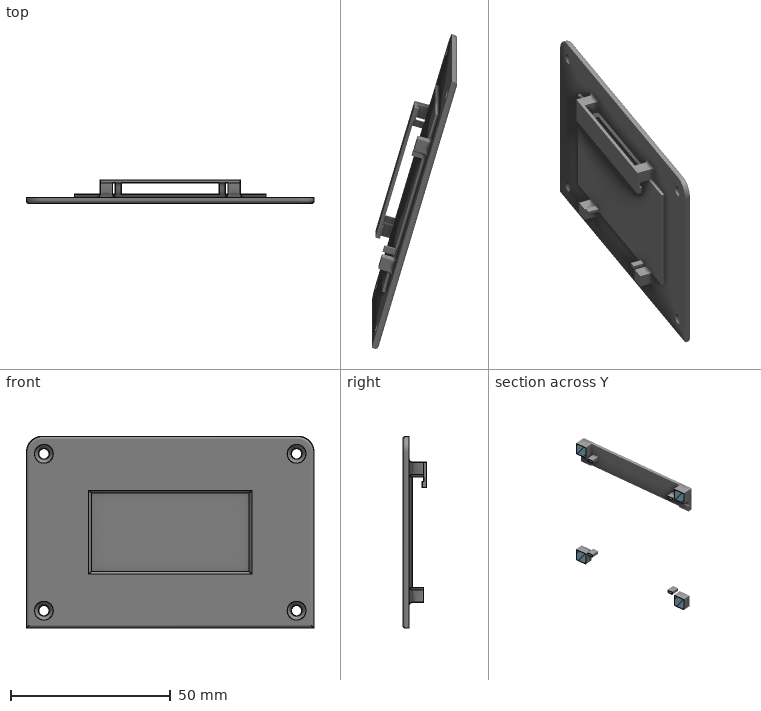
import cadquery as cq
import math

plate_width = 90.0
plate_height = 60.0
plate_thickness = 2.0
corner_radius = 5.0
edge_fillet = 1.0

hole_diameter = 3.2
countersink_diameter = 5.85
countersink_angle = 90.0
hole_inset = 5.5

window_width = 51.0
window_height = 26.2
window_chamfer = 0.8

post_side = 4.0
post_pitch = 40.0
post_height = 4.5
post_fillet = 1.0

rail_length = 34.5
rail_thickness = 1.0
rail_height = 1.0
tab_width = 2.0

pane_width = 60.0
pane_height = 34.5
pane_projection = 1.0

bar_height = 8.0
bar_thickness = 1.0
lip_height = 2.0
lip_depth = 0.45

back = plate_thickness
post_end = back + post_height
post_reach = (post_pitch + post_side) / 2


def block(x_range, y_range, z_range):
    """Box that fills the given ranges along X, Y and Z."""
    ranges = (x_range, y_range, z_range)
    sizes = [high - low for low, high in ranges]
    corner = tuple(low for low, high in ranges)
    return cq.Workplane("XY").box(*sizes, centered=False).translate(corner)


def make_plate():
    """Plate with rounded upper corners and a rounded front edge."""
    plate = cq.Workplane("XY").box(plate_width, plate_thickness, plate_height)
    plate = plate.translate((0, plate_thickness / 2, 0))
    plate = plate.faces(">Z").edges("|Y").fillet(corner_radius)
    return plate.faces("<Y").edges().fillet(edge_fillet)


def cut_mounting_holes(plate):
    """Four countersunk through holes, one near each corner."""
    half_angle = math.radians(countersink_angle / 2)
    cone_height = countersink_diameter / 2 / math.tan(half_angle)
    into_plate = cq.Vector(0, 1, 0)
    for x_side in (-1, 1):
        for z_side in (-1, 1):
            centre = cq.Vector(
                x_side * (plate_width / 2 - hole_inset), 0, z_side * (plate_height / 2 - hole_inset)
            )
            bore = cq.Solid.makeCylinder(hole_diameter / 2, plate_thickness, centre, into_plate)
            cone = cq.Solid.makeCone(countersink_diameter / 2, 0, cone_height, centre, into_plate)
            plate = plate.cut(cq.Workplane(bore)).cut(cq.Workplane(cone))
    return plate


def make_window():
    """Opening with sloping sides, from the front face down to the pane."""
    return (
        cq.Workplane("XZ")
        .rect(window_width, window_height)
        .workplane(offset=-window_chamfer)
        .rect(window_width - 2 * window_chamfer, window_height - 2 * window_chamfer)
        .loft(ruled=True)
    )


def add_posts(plate):
    """Four square posts on the back, filleted where they meet the plate."""
    posts = (
        cq.Workplane("XZ", origin=(0, back, 0))
        .rect(post_pitch, post_pitch, forConstruction=True)
        .vertices()
        .rect(post_side, post_side)
        .extrude(-post_height)
    )
    zone_half = post_reach + post_fillet
    post_zone = cq.selectors.BoxSelector(
        (-zone_half, back - post_fillet, -zone_half), (zone_half, back + post_fillet, zone_half)
    )
    return plate.union(posts).edges(post_zone).fillet(post_fillet)


def make_rail():
    """Upper rail, standing just above the pane, with its two end tabs."""
    z_range = (pane_height / 2, pane_height / 2 + rail_thickness)
    rail_end = rail_length / 2
    rail = block((-rail_end, rail_end), (back, back + rail_height), z_range)
    for x_range in ((-rail_end, tab_width - rail_end), (rail_end - tab_width, rail_end)):
        rail = rail.union(block(x_range, (back, post_end), z_range))
    return rail


def make_bezel(pane):
    """Plate with holes, posts, rails and window, and a recess that fits the pane."""
    plate = cut_mounting_holes(make_plate())
    upper_rail = make_rail()
    lower_rail = upper_rail.mirror("XY")
    bezel = add_posts(plate).union(upper_rail).union(lower_rail)
    return bezel.cut(make_window()).cut(pane)


def make_pane():
    """Flat sheet whose front closes the window."""
    return block(
        (-pane_width / 2, pane_width / 2),
        (window_chamfer, back + pane_projection),
        (-pane_height / 2, pane_height / 2),
    )


def make_clamp_bar():
    """Bar resting on the upper posts, with a short lip below each post."""
    bottom = post_reach - bar_height
    bar = block(
        (-post_reach, post_reach), (post_end, post_end + bar_thickness), (bottom, post_reach)
    )
    for x_start in (-post_reach, post_reach - post_side):
        lip = block(
            (x_start, x_start + post_side),
            (post_end - lip_depth, post_end),
            (bottom, bottom + lip_height),
        )
        bar = bar.union(lip)
    return bar


pane = make_pane()
bezel = make_bezel(pane)
clamp_bar = make_clamp_bar()

result = cq.Compound.makeCompound([bezel.val(), pane.val(), clamp_bar.val()])